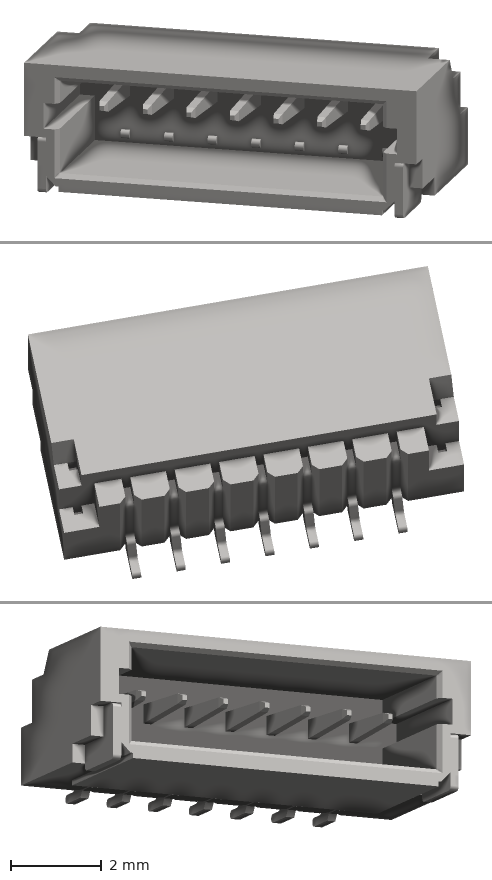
import cadquery as cq


length = 9.0
top_z = 2.95
bottom_z = 0.17
roof_depth = 3.65
full_depth = 4.25
wing_top_z = 1.48
rear_block_top_z = 2.45
center_half_length = 3.71

foot_depth = 3.25
foot_bottom_z = 0.05

cavity_depth = 3.0
cavity_bottom_z = 0.46
cavity_top_z = 2.57
lead_in = 0.1
lead_in_depth = 0.1
key_half_length = 4.05
key_bottom_z = 1.48
key_top_z = 2.06

notch_inner_x = 4.0
notch_floor_front_y = 3.04
notch_top_front_y = 2.745

blind_hole_side = 0.2
blind_hole_depth = 0.3

tab_inner_x = 4.0
tab_thickness = 0.2
tab_leg_depth = 0.51
tab_leg_top_z = 1.28
tab_base_depth = 1.5
tab_base_top_z = 0.59
tab_radius = 0.1
corner_bevel = 0.225

contact_count = 7
pitch = 1.0
contact_width = 0.2
plate_front_y = roof_depth
plate_rear_y = 4.1
plate_bottom_z = 0.14
bend_radius = 0.1
post_mid_z = 1.755
post_root_half = 0.22
post_front_half = 0.12
post_tip_half = 0.05
tip_half_width = 0.05
tip_length = 0.18
post_tip_y = 1.0
prong_bottom_z = 0.56
prong_height = 0.2
shoulder_z = 0.58
slope_top_y = 4.3
slope_bottom_y = 4.52
tail_end_y = 4.95
tail_thickness = 0.2
heel_front_y = 4.07
heel_rear_y = 4.16
tail_end_radius = 0.09
vee_depth = 0.14


def box(x0, x1, y0, y1, z0, z1):
    return cq.Workplane("XY").box(x1 - x0, y1 - y0, z1 - z0, centered=False).translate((x0, y0, z0))


def centered_box(half_length, y0, y1, z0, z1):
    return box(-half_length, half_length, y0, y1, z0, z1)


def side_plate(points, x0, thickness):
    """Plate with the given (y, z) outline, running from x0 towards +X."""
    return cq.Workplane("YZ").polyline(points).close().extrude(thickness).translate((x0, 0, 0))


def round_corner(plate, corner, radius):
    """Round the X-parallel edge of a plate at the given (y, z) corner."""
    nearest = cq.NearestToPointSelector((plate.val().Center().x, *corner))
    return plate.edges("|X").edges(nearest).fillet(radius)


def both_ends(body):
    """The +X body and its mirror image at the -X end."""
    return [body, body.mirror("YZ")]


def make_l_plate(thickness):
    """L-shaped plate shared by a tab and its pocket, from the tab's inner face towards +X."""
    outline = [
        (0, 0),
        (tab_base_depth, 0),
        (tab_base_depth, tab_base_top_z),
        (tab_leg_depth, tab_base_top_z),
        (tab_leg_depth, tab_leg_top_z),
        (0, tab_leg_top_z),
    ]
    return side_plate(outline, tab_inner_x, thickness)


def make_tab():
    """L-shaped solder tab of the +X end, lying flush with the mating face."""
    tab = make_l_plate(tab_thickness)
    for corner in [(0, 0), (tab_base_depth, 0), (0, tab_leg_top_z)]:
        tab = round_corner(tab, corner, tab_radius)
    return tab


def make_post():
    """Mating post: straight in the rear wall, tapered in the cavity, with a pyramid tip."""
    tip_base_y = post_tip_y + tip_length
    outline = [
        (plate_front_y, post_mid_z - post_root_half),
        (plate_front_y, post_mid_z + post_root_half),
        (cavity_depth, post_mid_z + post_root_half),
        (tip_base_y, post_mid_z + post_front_half),
        (tip_base_y, post_mid_z - post_front_half),
        (cavity_depth, post_mid_z - post_root_half),
    ]
    shank = side_plate(outline, -contact_width / 2, contact_width)
    tip = (
        cq.Workplane("XZ", origin=(0, tip_base_y, post_mid_z))
        .rect(contact_width, 2 * post_front_half)
        .workplane(offset=tip_length)
        .rect(2 * tip_half_width, 2 * post_tip_half)
        .loft(combine=True)
    )
    return shank.union(tip)


def make_prong():
    """Lower prong through the rear wall, with a half-round end standing into the cavity."""
    radius = prong_height / 2
    return (
        cq.Workplane("YZ")
        .moveTo(plate_front_y, prong_bottom_z)
        .lineTo(cavity_depth, prong_bottom_z)
        .threePointArc(
            (cavity_depth - radius, prong_bottom_z + radius),
            (cavity_depth, prong_bottom_z + prong_height),
        )
        .lineTo(plate_front_y, prong_bottom_z + prong_height)
        .close()
        .extrude(contact_width / 2, both=True)
    )


def make_contact():
    """Contact at X = 0: upright plate with a solder tail, a mating post and a lower prong."""
    plate_top_z = post_mid_z + post_root_half
    top_corner = (plate_rear_y, plate_top_z)
    shoulder_corner = (plate_rear_y, shoulder_z)
    slope_top = (slope_top_y, shoulder_z)
    slope_bottom = (slope_bottom_y, tail_thickness)
    tail_top = (tail_end_y, tail_thickness)
    tail_bottom = (tail_end_y, 0)
    outline = [
        (plate_front_y, plate_bottom_z),
        (plate_front_y, plate_top_z),
        top_corner,
        shoulder_corner,
        slope_top,
        slope_bottom,
        tail_top,
        tail_bottom,
        (heel_rear_y, 0),
        (heel_front_y, plate_bottom_z),
    ]
    plate = side_plate(outline, -contact_width / 2, contact_width)
    for corner in [top_corner, shoulder_corner, slope_top, slope_bottom]:
        plate = round_corner(plate, corner, bend_radius)
    for corner in [tail_top, tail_bottom]:
        plate = round_corner(plate, corner, tail_end_radius)
    return plate.union(make_post()).union(make_prong())


def make_housing_block():
    """Outer form: full-height part, two low rear wings, the rear block and the foot."""
    block = centered_box(length / 2, 0, roof_depth, bottom_z, top_z)
    wings = centered_box(length / 2, roof_depth, full_depth, bottom_z, wing_top_z)
    rear_block = centered_box(center_half_length, roof_depth, full_depth, bottom_z, rear_block_top_z)
    foot = centered_box(center_half_length, 0, foot_depth, foot_bottom_z, bottom_z)
    return block.union(wings).union(rear_block).union(foot)


def make_cavity():
    """Mating cavity with its bevelled opening, and the key slots joined to it."""
    height = cavity_top_z - cavity_bottom_z
    cavity = centered_box(center_half_length, 0, cavity_depth, cavity_bottom_z, cavity_top_z)
    opening = (
        cq.Workplane("XZ", origin=(0, lead_in_depth, cavity_bottom_z + height / 2))
        .rect(2 * center_half_length, height)
        .workplane(offset=lead_in_depth)
        .rect(2 * (center_half_length + lead_in), height + 2 * lead_in)
        .loft(combine=True)
    )
    keys = centered_box(key_half_length, 0, cavity_depth, key_bottom_z, key_top_z)
    return cavity.union(opening).union(keys)


def make_notch():
    """Rear corner notch of the +X end, with a sloped front wall."""
    outline = [
        (notch_top_front_y, top_z),
        (notch_floor_front_y, rear_block_top_z),
        (roof_depth, rear_block_top_z),
        (roof_depth, top_z),
    ]
    return side_plate(outline, notch_inner_x, length / 2 - notch_inner_x)


def make_blind_hole(front_y, mouth_z):
    """Square blind hole of the +X end, sunk from mouth_z."""
    return box(
        notch_inner_x,
        notch_inner_x + blind_hole_side,
        front_y,
        front_y + blind_hole_side,
        mouth_z - blind_hole_depth,
        mouth_z,
    )


def make_tab_pocket():
    """L-shaped pocket for the +X tab, open at the side, the front and below."""
    return make_l_plate(length / 2 - tab_inner_x)


def make_corner_bevel():
    """Bevel along the lower edge of the floor beside the +X tab."""
    return (
        cq.Workplane("XZ")
        .polyline([
            (tab_inner_x, bottom_z),
            (tab_inner_x, bottom_z + corner_bevel),
            (tab_inner_x - corner_bevel, bottom_z),
        ])
        .close()
        .extrude(-tab_base_depth)
    )


def make_contact_slot():
    """Upright slot at X = 0 through the rear block, widened to a vee at its rear mouth."""
    half = contact_width / 2
    return (
        cq.Workplane("XY", origin=(0, 0, bottom_z))
        .polyline([
            (-half, plate_front_y),
            (half, plate_front_y),
            (half, full_depth - vee_depth),
            (half + vee_depth, full_depth),
            (-half - vee_depth, full_depth),
            (-half, full_depth - vee_depth),
        ])
        .close()
        .extrude(rear_block_top_z - bottom_z)
    )


def make_housing(contacts, contact_places):
    """Housing with every contact slot and a matching recess for each contact."""
    end_cuts = [
        make_notch(),
        make_blind_hole(notch_floor_front_y, rear_block_top_z),
        make_blind_hole(roof_depth, wing_top_z),
        make_tab_pocket(),
        make_corner_bevel(),
    ]
    housing = make_housing_block().cut(make_cavity())
    for end_cut in end_cuts:
        for cutter in both_ends(end_cut):
            housing = housing.cut(cutter)
    slot = make_contact_slot()
    for x, contact in zip(contact_places, contacts):
        housing = housing.cut(slot.translate((x, 0, 0))).cut(contact)
    return housing


contact_places = [(i - (contact_count - 1) / 2) * pitch for i in range(contact_count)]
first_contact = make_contact()
contacts = [first_contact.translate((x, 0, 0)) for x in contact_places]
tabs = both_ends(make_tab())
housing = make_housing(contacts, contact_places)

result = cq.Compound.makeCompound([body.solids().val() for body in [housing, *contacts, *tabs]])